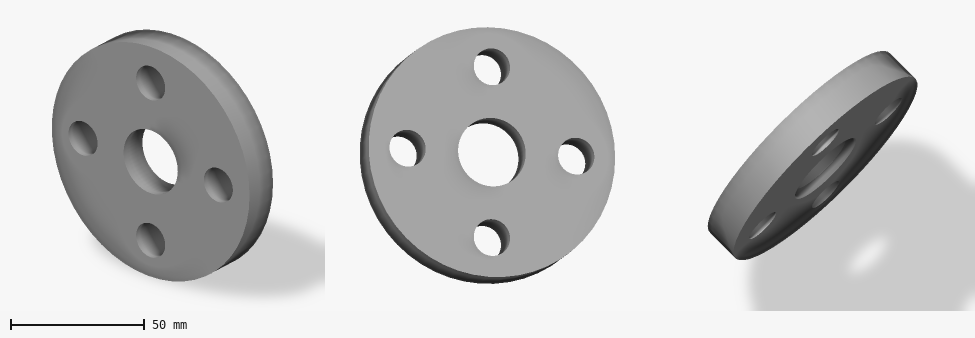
import cadquery as cq

flange_diameter = 95.0
flange_thickness = 14.0
bore_diameter = 26.0
bore_chamfer = 2.8
bolt_circle_diameter = 65.0
bolt_hole_diameter = 14.0
bolt_hole_count = 4

front_plane = cq.Workplane("XZ", origin=(0, -flange_thickness / 2, 0))


def flange_disc():
    """Plain round disc, extruded from the front face towards +Y."""
    return front_plane.circle(flange_diameter / 2).extrude(-flange_thickness)


def centre_bore():
    """Cutter for the through bore, flaring at 45 degrees into the +Y face."""
    bore_radius = bore_diameter / 2
    back = flange_thickness / 2
    return (
        cq.Workplane("XY")
        .moveTo(0, -back)
        .lineTo(bore_radius, -back)
        .lineTo(bore_radius, back - bore_chamfer)
        .lineTo(bore_radius + bore_chamfer, back)
        .lineTo(0, back)
        .close()
        .revolve(360, (0, 0, 0), (0, 1, 0))
    )


def bolt_holes():
    """Cutters for the through holes, evenly spaced from the X axis."""
    return (
        front_plane
        .polarArray(bolt_circle_diameter / 2, 0, 360, bolt_hole_count)
        .circle(bolt_hole_diameter / 2)
        .extrude(-flange_thickness)
    )


result = flange_disc().cut(centre_bore()).cut(bolt_holes())